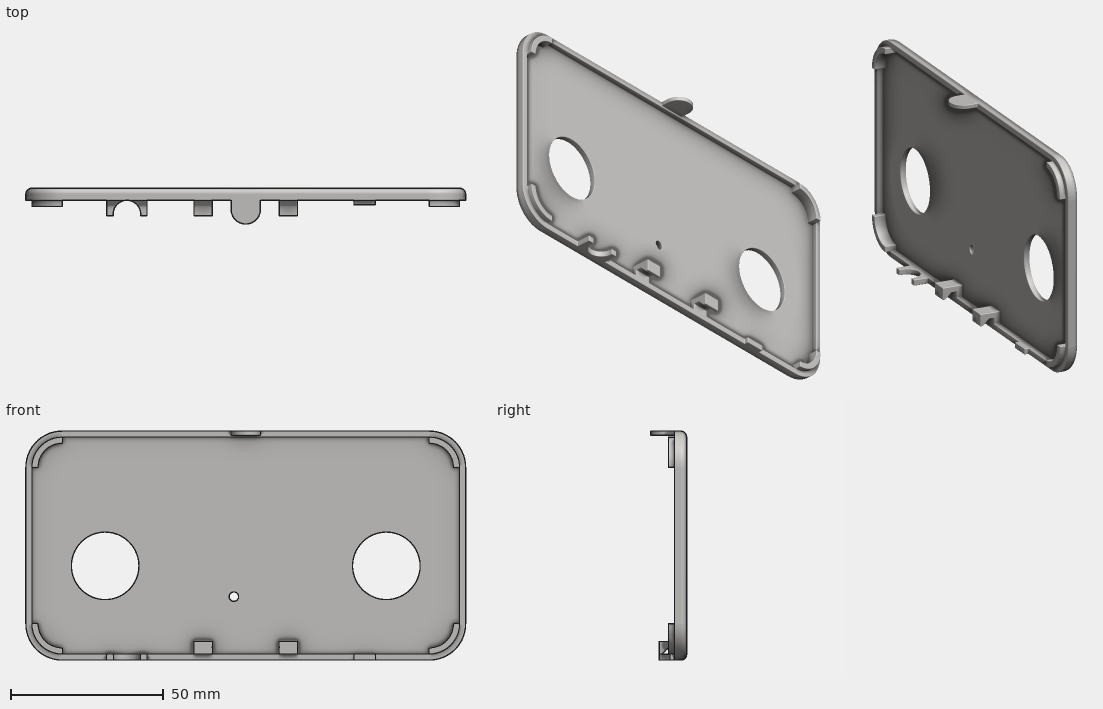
import cadquery as cq

length = 144.0
height = 75.0
corner_radius = 12.0
back_fillet = 2.0
edge_round = 0.2
wall = 2.0
rim_depth = 4.0
floor_thickness = 2.0

window_diameter = 22.0
window_spacing = 92.0
window_z = -6.6
pin_hole_diameter = 3.0
pin_hole_x = -3.9
pin_hole_z = -16.7

post_depth = 6.0
post_thickness = 2.0

tab_width = 9.6
tab_depth = 11.8
tab_thickness = 1.5

clip_depth = 9.0
fork_offset = 38.9
fork_width = 13.2
fork_gap = 9.0
stop_width = 7.0
stop_depth = 5.5
block_offset = 14.0
block_width = 6.0
block_height = 6.2
block_arm = 2.0
lip_width = 1.0

top = height / 2
bottom = -height / 2


def box(x_center, width, y_back, y_front, z_low, z_high):
    """Block given by its X centre and width, its depths from the back face and its Z range."""
    return (
        cq.Workplane("XY")
        .box(width, y_front - y_back, z_high - z_low, centered=(True, False, False))
        .translate((x_center, -y_front, z_low))
    )


def rounded_slab(inset, y_back, y_front):
    """Cover outline, moved inward by inset, between two depths from the back face."""
    return (
        box(0, length - 2 * inset, y_back, y_front, bottom + inset, top - inset)
        .edges("|Y")
        .fillet(corner_radius - inset)
    )


def hole(diameter, x, z):
    """Cutter for a round opening through the floor."""
    return (
        cq.Workplane("XZ", origin=(x, 0, z))
        .circle(diameter / 2)
        .extrude(floor_thickness)
    )


def make_tray():
    """Floor with a low rim all around."""
    tray = rounded_slab(0, 0, rim_depth)
    return tray.cut(rounded_slab(wall, floor_thickness, rim_depth))


def make_corner_posts():
    """Quarter-ring posts left when a ring is cleared between the corner centres."""
    ring = rounded_slab(wall, floor_thickness, post_depth).cut(
        rounded_slab(wall + post_thickness, floor_thickness, post_depth)
    )
    across = box(0, length - 2 * corner_radius, 0, post_depth, bottom, top)
    along = box(0, length, 0, post_depth, bottom + corner_radius, top - corner_radius)
    return ring.cut(across).cut(along)


def make_tab():
    """Flat tongue flush with the top edge, ending in a half circle."""
    radius = tab_width / 2
    return (
        cq.Workplane("XY", origin=(0, 0, top - tab_thickness))
        .moveTo(-radius, -rim_depth)
        .lineTo(-radius, radius - tab_depth)
        .threePointArc((0, -tab_depth), (radius, radius - tab_depth))
        .lineTo(radius, -rim_depth)
        .close()
        .extrude(tab_thickness)
    )


def make_fork():
    """Two prongs on the bottom edge with a U-shaped gap between them."""
    fork = box(-fork_offset, fork_width, rim_depth, clip_depth, bottom, bottom + wall)
    gap_center = rim_depth + fork_gap / 2
    gap = (
        cq.Workplane("XY", origin=(-fork_offset, -gap_center, bottom))
        .circle(fork_gap / 2)
        .extrude(wall)
    )
    gap_mouth = box(-fork_offset, fork_gap, gap_center, clip_depth, bottom, bottom + wall)
    return fork.cut(gap).cut(gap_mouth)


def make_stop():
    """Low tab on the bottom edge, opposite the fork."""
    return box(fork_offset, stop_width, rim_depth, stop_depth, bottom, bottom + wall)


def make_block(x):
    """Hook standing on the floor: an arm reaching past the rim with a sloped lip at its end."""
    z_low = bottom + wall
    z_high = bottom + block_height
    z_arm = z_high - block_arm
    lip_start = clip_depth - lip_width
    slope = z_arm - z_low
    return (
        cq.Workplane("YZ", origin=(x - block_width / 2, 0, 0))
        .moveTo(-floor_thickness, z_low)
        .lineTo(-rim_depth, z_low)
        .lineTo(-rim_depth, z_arm)
        .lineTo(slope - lip_start, z_arm)
        .lineTo(-lip_start, z_low)
        .lineTo(-clip_depth, z_low)
        .lineTo(-clip_depth, z_high)
        .lineTo(-floor_thickness, z_high)
        .close()
        .extrude(block_width)
    )


result = make_tray().union(make_corner_posts()).union(make_tab()).union(make_fork())
result = result.union(make_stop())
for side in (-1, 1):
    result = result.union(make_block(side * block_offset))
    result = result.cut(hole(window_diameter, side * window_spacing / 2, window_z))
result = result.cut(hole(pin_hole_diameter, pin_hole_x, pin_hole_z))

front_edges = result.edges().filter(lambda edge: edge.BoundingBox().ymax < -floor_thickness / 2)
result = front_edges.fillet(edge_round)

back_outline = result.faces(">Y").val().outerWire()
result = result.newObject(back_outline.Edges()).fillet(back_fillet)